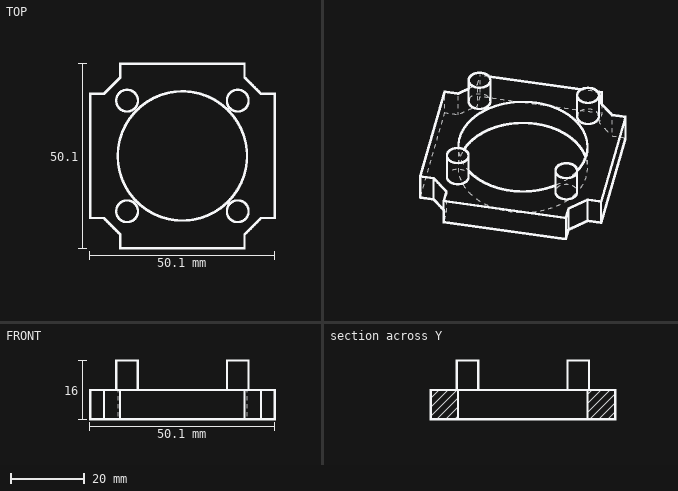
import cadquery as cq

plate_width = 50.1
total_height = 16.0
plate_thickness = 8.0

bore_diameter = 35.0
pin_diameter = 5.9
pin_spacing = 30.0

notch_size = 8.15
notch_straight = 3.75

half_width = plate_width / 2
pin_height = total_height - plate_thickness


def make_plate():
    """Square plate centred on the origin, with its underside at Z = 0."""
    return cq.Workplane("XY").rect(plate_width, plate_width).extrude(plate_thickness)


def make_corner_notch():
    """Cutter for the +X +Y corner, running through the whole plate."""
    inner = half_width - notch_size
    bevel_end = half_width - notch_straight
    return (
        cq.Workplane("XY")
        .moveTo(half_width, half_width)
        .lineTo(inner, half_width)
        .lineTo(inner, bevel_end)
        .lineTo(bevel_end, inner)
        .lineTo(half_width, inner)
        .close()
        .extrude(plate_thickness)
    )


def make_pins():
    """Four pins standing on the top face of the plate."""
    return (
        cq.Workplane("XY", origin=(0, 0, plate_thickness))
        .rect(pin_spacing, pin_spacing, forConstruction=True)
        .vertices()
        .circle(pin_diameter / 2)
        .extrude(pin_height)
    )


plate = make_plate().faces(">Z").workplane().hole(bore_diameter)
corner_notch = make_corner_notch()
for angle in (0, 90, 180, 270):
    plate = plate.cut(corner_notch.rotate((0, 0, 0), (0, 0, 1), angle))

result = plate.union(make_pins())